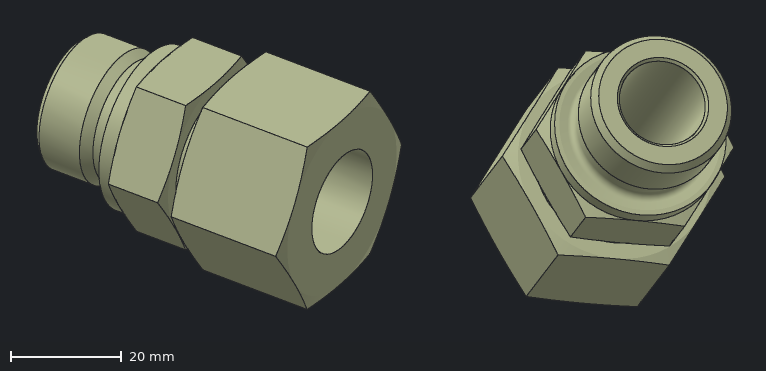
import cadquery as cq
import math


total_length = 58.0
undercut_start = 10.0
collar_start = 16.0
hex_start = 19.0
hex_end = 31.0
nut_start = 34.0
neck_end = 34.5
body_end = 47.0

stud_diameter = 26.35
stud_chamfer_length = 1.3
stud_chamfer_depth = 1.15
undercut_diameter = 23.9

recess_mouth_diameter = 30.15
recess_angle = math.radians(9)
recess_fillet = 1.3

body_width = 32.0
nut_width = 36.0
hex_chamfer_angle = math.radians(15)

neck_diameter = 27.0
thread_diameter = 30.0
slope_angle = math.radians(30)

bore_diameter = 16.0
bore_chamfer = 0.5
tube_diameter = 20.0


def turned(profile):
    """Solid of revolution about X from (x, radius) points that start and end on the axis."""
    return profile.close().revolve(360, (0, 0, 0), (1, 0, 0))


def bore(start, end, diameter):
    """Cylinder along X, used to cut a hole."""
    return cq.Workplane("YZ", origin=(start, 0, 0)).circle(diameter / 2).extrude(end - start)


def hexagon(start, end, width):
    """Hexagonal prism along X with two horizontal flats and its corners turned off at both ends."""
    flat_radius = width / 2
    corner_radius = width / math.sqrt(3)
    chamfer_length = (corner_radius - flat_radius) * math.tan(hex_chamfer_angle)
    prism = cq.Workplane("YZ", origin=(start, 0, 0)).polygon(6, 2 * corner_radius).extrude(end - start)
    envelope = turned(
        cq.Workplane("XY")
        .moveTo(start, 0)
        .lineTo(start, flat_radius)
        .lineTo(start + chamfer_length, corner_radius)
        .lineTo(end - chamfer_length, corner_radius)
        .lineTo(end, flat_radius)
        .lineTo(end, 0)
    )
    return prism.intersect(envelope)


def stud_and_collar():
    """Chamfered stud, undercut, and collar with the dished recess in its face."""
    stud_radius = stud_diameter / 2
    floor_radius = undercut_diameter / 2
    mouth_radius = recess_mouth_diameter / 2
    collar_radius = body_width / 2
    floor_start = undercut_start + (stud_radius - floor_radius) / math.tan(slope_angle)

    fillet_end_radius = floor_radius + recess_fillet * (1 + math.sin(recess_angle))
    fillet_end = collar_start + (mouth_radius - fillet_end_radius) * math.tan(recess_angle)
    fillet_start = fillet_end - recess_fillet * math.cos(recess_angle)

    return turned(
        cq.Workplane("XY")
        .moveTo(0, 0)
        .lineTo(0, stud_radius - stud_chamfer_depth)
        .lineTo(stud_chamfer_length, stud_radius)
        .lineTo(undercut_start, stud_radius)
        .lineTo(floor_start, floor_radius)
        .lineTo(fillet_start, floor_radius)
        .tangentArcPoint((fillet_end, fillet_end_radius), relative=False)
        .lineTo(collar_start, mouth_radius)
        .lineTo(collar_start, collar_radius)
        .lineTo(hex_start, collar_radius)
        .lineTo(hex_start, 0)
    )


def neck_and_thread():
    """Neck behind the hexagon, widening to the thread that carries the nut."""
    neck_radius = neck_diameter / 2
    thread_radius = thread_diameter / 2
    thread_start = neck_end + (thread_radius - neck_radius) / math.tan(slope_angle)
    return turned(
        cq.Workplane("XY")
        .moveTo(hex_end, 0)
        .lineTo(hex_end, neck_radius)
        .lineTo(neck_end, neck_radius)
        .lineTo(thread_start, thread_radius)
        .lineTo(body_end, thread_radius)
        .lineTo(body_end, 0)
    )


def make_body():
    """Stud fitting body in one piece, with a bore right through it."""
    blank = stud_and_collar().union(hexagon(hex_start, hex_end, body_width)).union(neck_and_thread())
    bored = blank.cut(bore(0, body_end, bore_diameter))
    bore_rim = bored.faces("<X").edges(cq.selectors.RadiusNthSelector(0))
    return bore_rim.chamfer(bore_chamfer)


def make_nut():
    """Union nut over the rear thread, with a smaller opening for the tube behind it."""
    blank = hexagon(nut_start, total_length, nut_width)
    bored = blank.cut(bore(nut_start, body_end, thread_diameter))
    return bored.cut(bore(body_end, total_length, tube_diameter))


body = make_body()
nut = make_nut()

result = cq.Compound.makeCompound([body.val(), nut.val()])